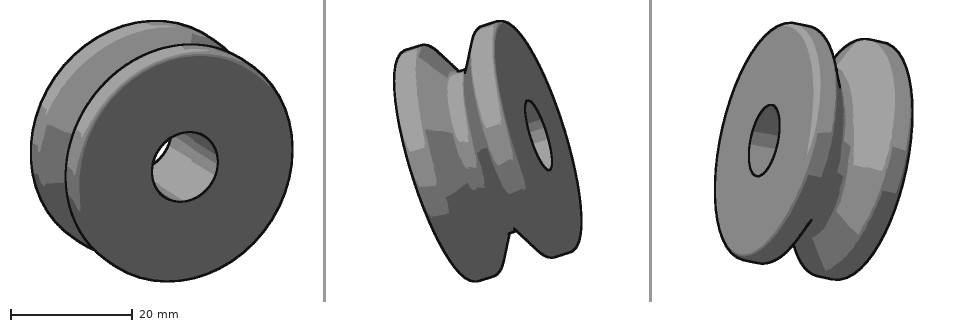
import cadquery as cq

width = 18.0
rim_diameter = 40.0
root_diameter = 28.0
bore_diameter = 12.0
groove_mouth_width = 10.0
groove_floor_width = 2.5
edge_radius = 1.0

half_width = width / 2
rim_radius = rim_diameter / 2
root_radius = root_diameter / 2
half_mouth = groove_mouth_width / 2
half_floor = groove_floor_width / 2


def make_blank():
    """Solid roller with a flat-bottomed V groove."""
    profile = [
        (-half_width, 0),
        (-half_width, rim_radius),
        (-half_mouth, rim_radius),
        (-half_floor, root_radius),
        (half_floor, root_radius),
        (half_mouth, rim_radius),
        (half_width, rim_radius),
        (half_width, 0),
    ]
    return cq.Workplane("XY").polyline(profile).close().revolve(360, (0, 0, 0), (1, 0, 0))


def make_bore():
    """Cylinder that passes through the full width."""
    return cq.Workplane("YZ").circle(bore_diameter / 2).extrude(half_width, both=True)


rounded_blank = make_blank().edges("%CIRCLE").fillet(edge_radius)
result = rounded_blank.cut(make_bore())